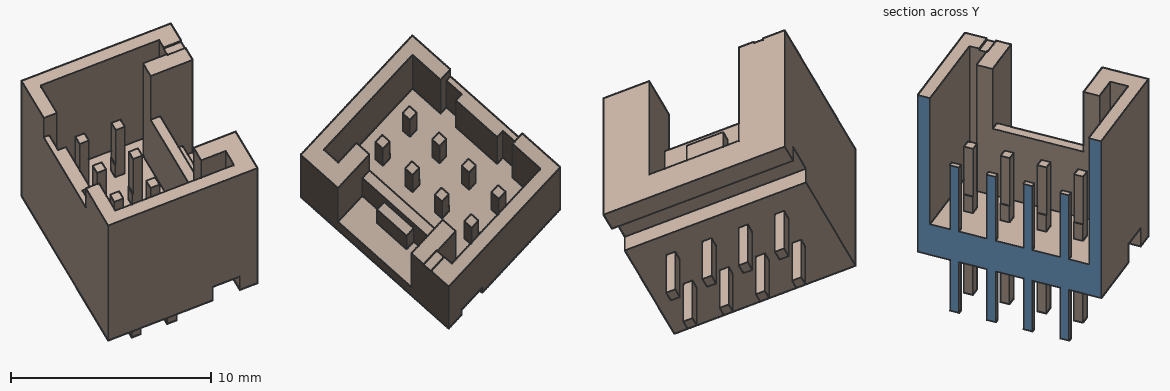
import cadquery as cq


housing_x = 10.0
housing_y = 8.27
housing_z = 9.6
side_wall = 0.68
front_wall = 0.73
rear_wall = 0.98
floor_z = 1.9

front_y = -housing_y / 2
rear_y = housing_y / 2
cavity_front_y = front_y + front_wall
cavity_rear_y = rear_y - rear_wall

rear_block_x = 6.7
rear_block_y = 2.33
rear_block_face_y = rear_y - rear_block_y
channel_x = 4.95
lip_thickness = 0.53
lip_top_z = housing_z - 3.65
lip_rear_y = rear_block_face_y + lip_thickness

latch_x = 2.0
latch_y = 0.53
latch_top_z = lip_top_z - 1.0

notch_x = 4.85
notch_depth = 1.6
keyway_x = 1.03
keyway_skin = 0.3

groove_x = 0.5
groove_depth = 0.1
groove_left_x = -3.8

slot_y = 1.5
slot_height = 1.12

pin_size = 0.5
pin_pitch = 2.0
pins_per_row = 4
pin_tip_z = housing_z - 3.8
pin_tail = 3.1
front_row_y = -1.74
rear_row_y = front_row_y + pin_pitch
rear_shank_extra = 0.04
rear_shank_top_z = floor_z + 1.0


def block(x_range, y_range, z_range):
    """Axis-aligned box between the given limits."""
    x0, x1 = x_range
    y0, y1 = y_range
    z0, z1 = z_range
    return cq.Workplane("XY").box(x1 - x0, y1 - y0, z1 - z0, centered=False).translate((x0, y0, z0))


def span(width, center=0.0):
    """Limits of a width about a centre."""
    return (center - width / 2, center + width / 2)


def make_cavity():
    full = block(
        span(housing_x - 2 * side_wall),
        (cavity_front_y, cavity_rear_y),
        (floor_z, housing_z),
    )
    rear_block = block(span(rear_block_x), (rear_block_face_y, rear_y), (floor_z, housing_z))
    return full.cut(rear_block)


def cut_rear_channel(body):
    above_lip = block(span(channel_x), (rear_block_face_y, rear_y), (lip_top_z, housing_z))
    behind_lip = block(span(channel_x), (lip_rear_y, rear_y), (floor_z, housing_z))
    latch = block(span(latch_x), (lip_rear_y, lip_rear_y + latch_y), (floor_z, latch_top_z))
    return body.cut(above_lip).cut(behind_lip).union(latch)


def cut_front_notch(body):
    notch_floor_z = housing_z - notch_depth
    body = body.cut(block(span(notch_x), (front_y, cavity_front_y), (notch_floor_z, housing_z)))
    for side in (-1, 1):
        keyway_center = side * (notch_x - keyway_x) / 2
        keyway = block(
            span(keyway_x, keyway_center),
            (front_y + keyway_skin, cavity_front_y),
            (floor_z, notch_floor_z),
        )
        body = body.cut(keyway)
    return body


def cut_marking_groove(body):
    groove = block(
        (groove_left_x, groove_left_x + groove_x),
        (cavity_rear_y, rear_y),
        (housing_z - groove_depth, housing_z),
    )
    return body.cut(groove)


def cut_underside_slot(body):
    slot = block(span(housing_x), (cavity_rear_y - slot_y, cavity_rear_y), (0, slot_height))
    return body.cut(slot)


def add_pins(body):
    for column in range(pins_per_row):
        pin_x = span(pin_size, (column - (pins_per_row - 1) / 2) * pin_pitch)
        for row_y in (front_row_y, rear_row_y):
            body = body.union(block(pin_x, span(pin_size, row_y), (-pin_tail, pin_tip_z)))
        shank_front_y = rear_row_y - pin_size / 2 - rear_shank_extra
        shank_y = (shank_front_y, rear_row_y + pin_size / 2)
        body = body.union(block(pin_x, shank_y, (-pin_tail, rear_shank_top_z)))
    return body


housing = block(span(housing_x), (front_y, rear_y), (0, housing_z)).cut(make_cavity())
housing = cut_rear_channel(housing)
housing = cut_front_notch(housing)
housing = cut_marking_groove(housing)
housing = cut_underside_slot(housing)
result = add_pins(housing)